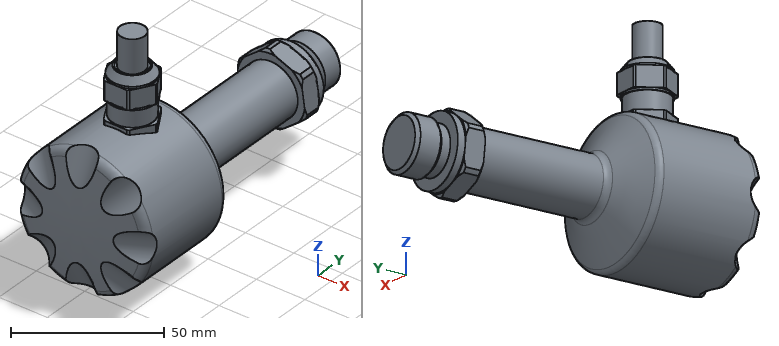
import cadquery as cq
import math

length = 128.9

housing_radius = 54.5 / 2
tube_radius = 22.0 / 2
shoulder_start = 44.2
shoulder_angle = 60.0
shoulder_fillet = 3.0
dome_height = 2.5
dome_rim_radius = 24.5
cap_fillet = 3.5

thread_radius = 21.0 / 2
thread_length = 10.6
thread_chamfer = 1.3
neck_radius = 18.4 / 2
neck_end = 114.8
collar_radius = 27.0 / 2
nut_top = 111.9
nut_length = 7.7
nut_across_flats = 27.0
nut_corner_diameter = 30.0
nut_chamfer_radial = 1.0
nut_chamfer_axial = 0.9
nut_turn = 38.0

scallop_count = 8
scallop_radius = 7.7
scallop_slope = 29.0
scallop_floor_y = 7.9
scallop_length = 64.5

gland_y = 30.0
gland_radius = 16.8 / 2
gland_flats = 17.8
gland_corner_diameter = 20.0
base_hex_top = 28.6
cap_bottom = 35.6
cap_lip = 0.8
cap_hex_length = 7.7
cap_radius = 17.8 / 2
cap_top = 47.7
cap_top_radius = 13.1 / 2
cap_bore_radius = 12.0 / 2
cap_bore_depth = 0.5
cable_radius = 10.0 / 2
cable_top = 88.0 - housing_radius


def hexagon(plane, across_flats, height, turn=0.0):
    """Hexagonal prism along the plane's normal, one corner at the turn angle."""
    across_corners = across_flats / math.cos(math.radians(30))
    return cq.Workplane(plane).transformed(rotate=(0, 0, turn)).polygon(6, across_corners).extrude(height)


def make_housing():
    """Cap, housing, shoulder, tube and threaded end as one turned body."""
    dome_radius = (dome_rim_radius**2 + dome_height**2) / (2 * dome_height)
    dome_edge_y = dome_radius - math.sqrt(dome_radius**2 - housing_radius**2)
    dome_mid_radius = housing_radius / 2
    dome_mid_y = dome_radius - math.sqrt(dome_radius**2 - dome_mid_radius**2)
    shoulder_end = shoulder_start + (housing_radius - tube_radius) / math.tan(math.radians(shoulder_angle))
    thread_start = length - thread_length
    thread_step = thread_radius - neck_radius
    body = (
        cq.Workplane("XY")
        .moveTo(0, 0)
        .threePointArc((dome_mid_radius, dome_mid_y), (housing_radius, dome_edge_y))
        .lineTo(housing_radius, shoulder_start)
        .lineTo(tube_radius, shoulder_end)
        .lineTo(tube_radius, nut_top)
        .lineTo(collar_radius, nut_top)
        .lineTo(collar_radius, neck_end)
        .lineTo(neck_radius, neck_end)
        .lineTo(neck_radius, thread_start)
        .lineTo(thread_radius, thread_start + thread_step)
        .lineTo(thread_radius, length - thread_chamfer)
        .lineTo(thread_radius - thread_chamfer, length)
        .lineTo(0, length)
        .close()
        .revolve(360, (0, 0, 0), (0, 1, 0))
    )

    def edges_between(low, high):
        span = cq.selectors.BoxSelector(
            (-length, low, -length), (length, high, length), boundingbox=True
        )
        return body.edges(span).edges("%CIRCLE")

    margin = 0.1
    body = edges_between(shoulder_start - margin, shoulder_end + margin).fillet(shoulder_fillet)
    return edges_between(dome_edge_y - margin, dome_edge_y + margin).fillet(cap_fillet)


def make_nut():
    """Hexagon nut with its corners turned round and chamfered at both ends."""
    corner_radius = nut_corner_diameter / 2
    face_radius = corner_radius - nut_chamfer_radial
    nut_bottom = nut_top - nut_length
    envelope = (
        cq.Workplane("XY")
        .moveTo(0, nut_bottom)
        .lineTo(face_radius, nut_bottom)
        .lineTo(corner_radius, nut_bottom + nut_chamfer_axial)
        .lineTo(corner_radius, nut_top - nut_chamfer_axial)
        .lineTo(face_radius, nut_top)
        .lineTo(0, nut_top)
        .close()
        .revolve(360, (0, 0, 0), (0, 1, 0))
    )
    plane = cq.Plane(origin=(0, nut_top, 0), xDir=(1, 0, 0), normal=(0, -1, 0))
    return hexagon(plane, nut_across_flats, nut_length, nut_turn).intersect(envelope)


def cut_scallops(body):
    """Cut sloping round grooves around the cap, evenly spaced."""
    slope = math.radians(scallop_slope)
    floor_direction = cq.Vector(0, math.sin(slope), math.cos(slope))
    away_from_floor = cq.Vector(0, -math.cos(slope), math.sin(slope))
    floor_point = cq.Vector(0, scallop_floor_y, housing_radius)
    start = floor_point + away_from_floor * scallop_radius - floor_direction * (scallop_length / 2)
    cutter = cq.Solid.makeCylinder(scallop_radius, scallop_length, start, floor_direction)
    for index in range(scallop_count):
        turn = index * 360 / scallop_count
        body = body.cut(cq.Workplane(cutter.rotate(cq.Vector(0, 0, 0), cq.Vector(0, 1, 0), turn)))
    return body


def make_gland():
    """Cable gland and cable along Z, rooted inside the housing."""
    cap_cone_bottom = cap_bottom + cap_hex_length + 2 * cap_lip
    turned = (
        cq.Workplane("XZ", origin=(0, gland_y, 0))
        .lineTo(gland_radius, 0)
        .lineTo(gland_radius, cap_bottom)
        .lineTo(cap_radius, cap_bottom)
        .lineTo(cap_radius, cap_cone_bottom)
        .lineTo(cap_top_radius, cap_top)
        .lineTo(cap_bore_radius, cap_top)
        .lineTo(cap_bore_radius, cap_top - cap_bore_depth)
        .lineTo(cable_radius, cap_top - cap_bore_depth)
        .lineTo(cable_radius, cable_top)
        .lineTo(0, cable_top)
        .close()
        .revolve(360, (0, 0, 0), (0, 1, 0))
    )

    def gland_hexagon(bottom, height):
        plane = cq.Plane(origin=(0, gland_y, bottom))
        corners = cq.Workplane(plane).circle(gland_corner_diameter / 2).extrude(height)
        return hexagon(plane, gland_flats, height).intersect(corners)

    base_hex = gland_hexagon(0, base_hex_top)
    cap_hex = gland_hexagon(cap_bottom + cap_lip, cap_hex_length)
    return turned.union(base_hex).union(cap_hex)


result = cut_scallops(make_housing()).union(make_nut()).union(make_gland())